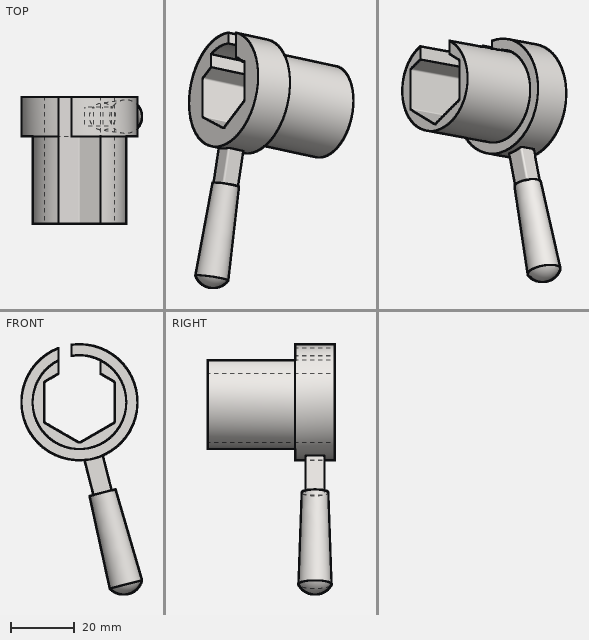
import cadquery as cq
import math

socket_length = 40.0
collar_length = 12.5
collar_radius = 18.3
sleeve_radius = 14.8
hex_across_flats = 22.1
hex_corner_fillet = 0.6
sleeve_slot_half_width = 6.55
collar_slot_right_edge = -2.5

lever_tilt = 14.3
shank_width = 6.0
shank_corner_fillet = 0.6
grip_start = 29.4
grip_end = 59.2
grip_start_radius = 4.3
grip_end_radius = 5.3
grip_dome_height = 3.15

collar_front = socket_length - collar_length
collar_middle = socket_length - collar_length / 2


def cylinder_along_y(radius, start, end):
    """Solid cylinder around the Y axis between two Y positions."""
    return cq.Workplane("XZ", origin=(0, start, 0)).circle(radius).extrude(start - end)


def slot_cutter(left, right, start, end):
    """Block that opens the upper side of the socket, from the axis outward."""
    return cq.Workplane("XY").box(
        right - left, end - start, collar_radius, centered=False
    ).translate((left, start, 0))


def place_on_lever(body):
    """Turn a body modelled along -Z onto the tilted lever axis."""
    tilted = body.rotate((0, 0, 0), (0, 1, 0), -lever_tilt)
    return tilted.translate((0, collar_middle, 0))


def make_socket():
    hex_corner_diameter = hex_across_flats / math.cos(math.radians(30))
    hex_bore = (
        cq.Workplane("XZ")
        .transformed(rotate=(0, 0, 90))
        .polygon(6, hex_corner_diameter)
        .extrude(-socket_length)
        .edges("|Y")
        .fillet(hex_corner_fillet)
    )
    sleeve = cylinder_along_y(sleeve_radius, 0, socket_length).cut(hex_bore)
    sleeve = sleeve.cut(
        slot_cutter(-sleeve_slot_half_width, sleeve_slot_half_width, 0, socket_length)
    )
    collar = cylinder_along_y(collar_radius, collar_front, socket_length).cut(
        cylinder_along_y(sleeve_radius, collar_front, socket_length)
    )
    collar = collar.cut(
        slot_cutter(
            -sleeve_slot_half_width, collar_slot_right_edge, collar_front, socket_length
        )
    )
    return sleeve.union(collar)


def make_shank():
    bar = (
        cq.Workplane("XY")
        .rect(shank_width, shank_width)
        .extrude(-grip_start)
        .edges("|Z")
        .fillet(shank_corner_fillet)
    )
    return place_on_lever(bar).cut(
        cylinder_along_y(collar_radius, collar_front, socket_length)
    )


def make_grip():
    dome_radius = (grip_end_radius**2 + grip_dome_height**2) / (2 * grip_dome_height)
    tip = grip_end + grip_dome_height
    dome_center = tip - dome_radius
    half_angle = math.asin(grip_end_radius / dome_radius) / 2
    dome_middle = (
        dome_radius * math.sin(half_angle),
        -dome_center - dome_radius * math.cos(half_angle),
    )
    profile = (
        cq.Workplane("XZ")
        .moveTo(0, -grip_start)
        .lineTo(grip_start_radius, -grip_start)
        .lineTo(grip_end_radius, -grip_end)
        .threePointArc(dome_middle, (0, -tip))
        .close()
    )
    return place_on_lever(profile.revolve(360, (0, 0, 0), (0, 1, 0)))


socket = make_socket()
shank = make_shank()
grip = make_grip()

result = cq.Compound.makeCompound(
    [socket.solids().val(), shank.solids().val(), grip.solids().val()]
)